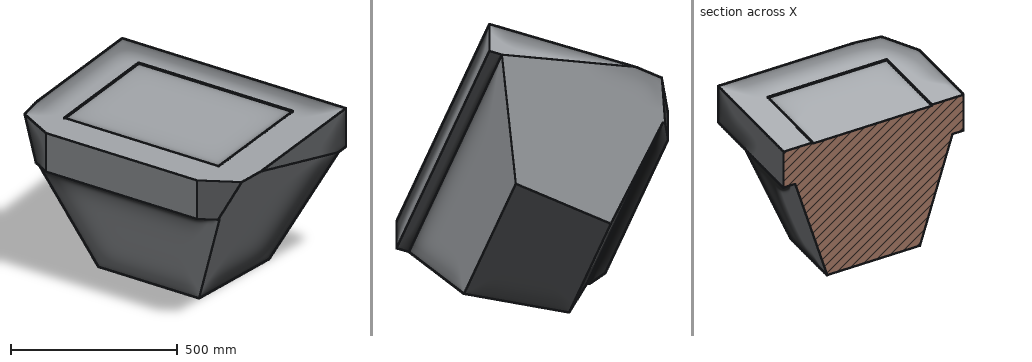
import cadquery as cq

width = 800.0
depth = 620.0
slab_height = 132.0
front_edge_width = 540.0
corner_cut_depth = 70.0

base_height = 368.0
height = base_height + slab_height
base_bottom_depth = 320.0
base_bottom_back_inset = 150.0
base_top_depth = 542.0
base_top_back_inset = 40.0
base_bottom_back_width = 446.0
base_bottom_front_width = 360.0

recess_width = 552.0
recess_length = 410.0
recess_back_inset = 101.0
recess_floor_drop = 4.0

back_y = depth / 2
front_y = back_y - depth
bottom_back_y = back_y - base_bottom_back_inset
top_back_y = back_y - base_top_back_inset

side_taper = (base_bottom_back_width - base_bottom_front_width) / base_bottom_depth
bottom_width_below_corner = base_bottom_back_width + side_taper * (top_back_y - bottom_back_y)
side_flare = (width - bottom_width_below_corner) / base_height


def width_between_sides(y, z):
    """Distance between the two leaning side planes at a given Y and Z."""
    return width + side_taper * (y - top_back_y) + side_flare * (z - base_height)


def make_slab():
    cut_y = front_y + corner_cut_depth
    outline = [
        (-width / 2, back_y),
        (width / 2, back_y),
        (width / 2, cut_y),
        (front_edge_width / 2, front_y),
        (-front_edge_width / 2, front_y),
        (-width / 2, cut_y),
    ]
    return cq.Workplane("XY", origin=(0, 0, base_height)).polyline(outline).close().extrude(slab_height)


def make_base():
    """Base with its sloping front and back faces, still at full width."""
    profile = [
        (bottom_back_y, 0),
        (top_back_y, base_height),
        (top_back_y - base_top_depth, base_height),
        (bottom_back_y - base_bottom_depth, 0),
    ]
    return cq.Workplane("YZ").polyline(profile).close().extrude(width / 2, both=True)


def make_side_envelope():
    """Space between the leaning side planes over the full depth and height."""
    sections = []
    for z in (0, height):
        half_back = width_between_sides(back_y, z) / 2
        half_front = width_between_sides(front_y, z) / 2
        corners = [
            cq.Vector(-half_back, back_y, z),
            cq.Vector(half_back, back_y, z),
            cq.Vector(half_front, front_y, z),
            cq.Vector(-half_front, front_y, z),
        ]
        sections.append(cq.Wire.makePolygon(corners, close=True))
    return cq.Workplane(cq.Solid.makeLoft(sections, True))


def make_recess():
    center_y = back_y - recess_back_inset - recess_length / 2
    return (
        cq.Workplane("XY", origin=(0, center_y, height))
        .rect(recess_width, recess_length)
        .extrude(-recess_floor_drop)
    )


body = make_slab().union(make_base())
result = body.intersect(make_side_envelope()).cut(make_recess())